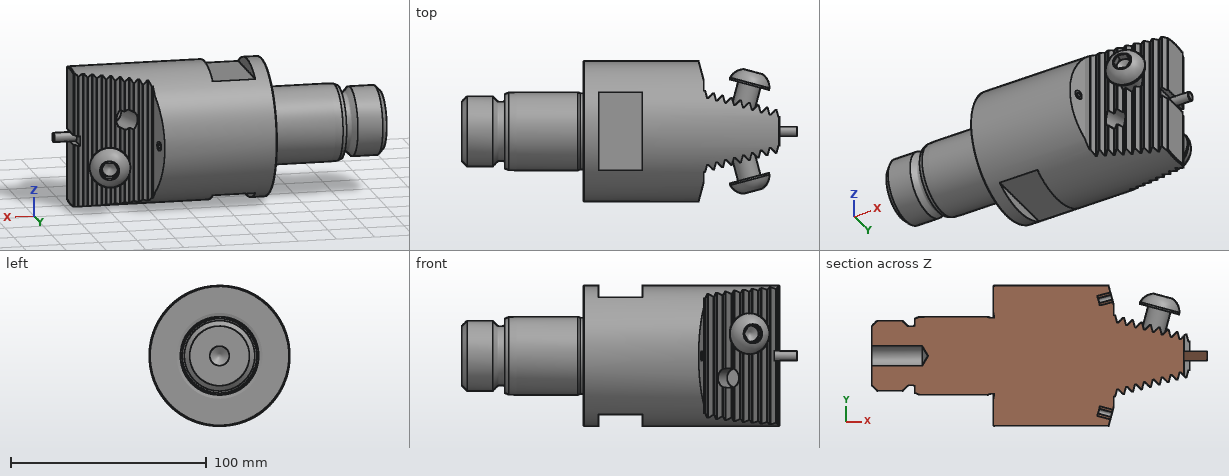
import cadquery as cq
import math

total_length = 171.5
body_length = 162.5
body_radius = 36.0
body_edge_chamfer = 0.5
flange_x = 62.0

shank_radius = 20.0
shank_start_x = 22.0
shank_lead_length = 2.0
shank_lead_height = 0.9
shank_taper_length = 4.0
shank_taper_height = 0.2
relief_start_x = 59.3
relief_ramp = 1.2
relief_depth = 0.5
relief_face_depth = 0.5
relief_face_radius = 22.0

knob_radius = 18.0
knob_chamfer = 2.7
knob_end_x = 15.8
groove_fillet = 0.7
centre_hole_radius = 5.0
centre_hole_depth = 25.7
drill_tip_angle = 118.0

flat_start_x = 70.0
flat_length = 22.3
flat_height = 30.0

taper_angle = 15.0
tooth_count = 8
tooth_pitch = 4.72
tooth_depth = 3.17
tooth_land = 0.5
first_tip_x = 128.8
first_tip_y = 19.5
shoulder_x = 123.8
shoulder_slope_y = 25.7

seat_x = 147.0
seat_y = 23.8
screw_z = 11.3
screw_length = 25.0
screw_radius = 6.0
exit_hole_diameter = 10.1
head_radius = 10.5
head_height = 7.0
head_rim_height = 1.0
head_top_radius = 5.0
dome_mid_radius = 8.5
dome_mid_height = 4.6
socket_width = 8.0
socket_depth = 4.1

nozzle_y = 30.0
nozzle_radius = 2.4
nozzle_bore_radius = 1.2
nozzle_length = 6.9

pin_diameter = 5.0
pin_chamfer = 0.3
slot_depth = 3.0

taper_cos = math.cos(math.radians(taper_angle))
taper_sin = math.sin(math.radians(taper_angle))
taper_tan = math.tan(math.radians(taper_angle))
groove_radius = knob_radius - knob_chamfer
taper_start_x = shank_start_x + shank_lead_length
taper_start_radius = shank_radius - shank_taper_height
relief_radius = shank_radius - relief_depth
slot_floor_x = body_length - slot_depth
screw_axis = cq.Vector(taper_sin, -taper_cos, 0)
shoulder_normal = cq.Vector(taper_cos, -taper_sin, 0)
seat_centre = cq.Vector(seat_x, -seat_y, screw_z)
nozzle_x = shoulder_x - (nozzle_y - shoulder_slope_y) * taper_tan
clearance = 8.5
half_turn = 180.0
side_turns = (0.0, half_turn)


def turned(shape, angle):
    """Turn a shape about the X axis."""
    return shape.rotate((0, 0, 0), (1, 0, 0), angle)


def frame(origin, normal):
    """Work plane whose Y direction is the part's Z axis or its opposite."""
    return cq.Workplane(cq.Plane(origin, cq.Vector(0, 0, 1).cross(normal), normal))


def drilled_hole(radius, depth):
    """Blind hole along +Z from the origin, with a cone-shaped end beyond the depth."""
    tip_length = radius / math.tan(math.radians(drill_tip_angle / 2))
    profile = [
        (0, 0),
        (radius, 0),
        (radius, depth),
        (0, depth + tip_length),
    ]
    return cq.Workplane("XZ").polyline(profile).close().revolve(360, (0, 0, 0), (0, 1, 0))


def turned_blank():
    profile = [
        (0, 0),
        (0, knob_radius - knob_chamfer),
        (knob_chamfer, knob_radius),
        (knob_end_x, knob_radius),
        (knob_end_x + knob_chamfer, groove_radius),
        (shank_start_x, groove_radius),
        (shank_start_x, taper_start_radius - shank_lead_height),
        (taper_start_x, taper_start_radius),
        (taper_start_x + shank_taper_length, shank_radius),
        (relief_start_x, shank_radius),
        (relief_start_x + relief_ramp, relief_radius),
        (flange_x + relief_face_depth, relief_radius),
        (flange_x, relief_face_radius),
        (flange_x, body_radius - body_edge_chamfer),
        (flange_x + body_edge_chamfer, body_radius),
        (body_length - body_edge_chamfer, body_radius),
        (body_length, body_radius - body_edge_chamfer),
        (body_length, 0),
    ]
    blank = cq.Workplane("XY").polyline(profile).close().revolve(360, (0, 0, 0), (1, 0, 0))
    groove_zone = cq.selectors.BoxSelector((knob_end_x, -1.7, -1.7), (taper_start_x, 1.7, 1.7))
    smallest = cq.selectors.RadiusNthSelector(0)
    groove_floor_edges = blank.edges(groove_zone).edges(smallest)
    return groove_floor_edges.fillet(groove_fillet)


def wrench_flat():
    flat_centre_x = flat_start_x + flat_length / 2
    return (
        cq.Workplane("XY", origin=(flat_centre_x, 0, flat_height))
        .rect(flat_length, 2 * body_radius)
        .extrude(clearance)
    )


def flank_point(along, outward):
    """Point on the -Y flank, measured from the first tooth tip along and out of the taper."""
    x = first_tip_x + along * taper_cos + outward * taper_sin
    y = first_tip_y - along * taper_sin + outward * taper_cos
    return (x, -y)


def serrated_flank():
    """Everything removed on the -Y side of the nose."""
    half_land = tooth_land / 2
    outer_y = body_radius + clearance
    outer_x = shoulder_x - (outer_y - shoulder_slope_y) * taper_tan
    shoulder_foot_y = first_tip_y + (first_tip_x - shoulder_x) * taper_tan
    outline = [
        (outer_x, -outer_y),
        (shoulder_x, -shoulder_slope_y),
        (shoulder_x, -shoulder_foot_y),
        flank_point(half_land - tooth_pitch, 0),
    ]
    for tooth in range(tooth_count):
        tip = tooth * tooth_pitch
        root = tip - tooth_pitch / 2
        outline.append(flank_point(root - half_land, -tooth_depth))
        outline.append(flank_point(root + half_land, -tooth_depth))
        outline.append(flank_point(tip - half_land, 0))
        outline.append(flank_point(tip + half_land, 0))
    last_root = (tooth_count - 0.5) * tooth_pitch
    outline.append(flank_point(last_root - half_land, -tooth_depth))
    outline.append((body_length + clearance, outline[-1][1]))
    outline.append((body_length + clearance, -outer_y))
    return cq.Workplane("XY").polyline(outline).close().extrude(body_radius + clearance, both=True)


def screw_hole():
    """Hole that fits the screw, carried on through the opposite flank at a smaller size."""
    fitted = frame(seat_centre, -screw_axis).circle(screw_radius).extrude(screw_length)
    through = frame(seat_centre, -screw_axis).circle(exit_hole_diameter / 2).extrude(2 * body_radius)
    return fitted.union(through)


def nozzle_pocket():
    return frame((nozzle_x, -nozzle_y, 0), -shoulder_normal).circle(nozzle_radius).extrude(nozzle_length)


def pin_slot():
    return cq.Workplane("XY").box(2 * slot_depth, 2 * body_radius, pin_diameter).translate((body_length, 0, 0))


def make_body():
    centre_hole = drilled_hole(centre_hole_radius, centre_hole_depth).rotate((0, 0, 0), (0, 1, 0), 90)
    body = turned_blank().cut(centre_hole).cut(pin_slot())
    for angle in side_turns:
        body = body.cut(turned(wrench_flat(), angle))
        body = body.cut(turned(serrated_flank(), angle))
        body = body.cut(turned(screw_hole(), angle))
        body = body.cut(turned(nozzle_pocket(), angle))
    return body


def make_screw():
    """Button-head screw on the -Y side."""
    profile = (
        cq.Workplane("XZ")
        .moveTo(0, -screw_length)
        .lineTo(screw_radius, -screw_length)
        .lineTo(screw_radius, 0)
        .lineTo(head_radius, 0)
        .lineTo(head_radius, head_rim_height)
        .threePointArc((dome_mid_radius, dome_mid_height), (head_top_radius, head_height))
        .lineTo(0, head_height)
        .close()
    )
    upright = profile.revolve(360, (0, 0, 0), (0, 1, 0))
    socket = (
        cq.Workplane("XY", origin=(0, 0, head_height))
        .transformed(rotate=(0, 0, 30))
        .polygon(6, socket_width, circumscribed=True)
        .extrude(-socket_depth)
    )
    socket_end = (
        drilled_hole(socket_width / 2, socket_depth)
        .rotate((0, 0, 0), (1, 0, 0), half_turn)
        .translate((0, 0, head_height))
    )
    seat = cq.Plane(seat_centre, cq.Vector(0, 0, 1).cross(screw_axis), screw_axis)
    return cq.Workplane("XY").add(upright.cut(socket).cut(socket_end).val().moved(cq.Location(seat)))


def make_nozzle():
    """Spray nozzle in the -Y shoulder, square to its slope."""
    return (
        frame((nozzle_x, -nozzle_y, 0), -shoulder_normal)
        .circle(nozzle_radius)
        .circle(nozzle_bore_radius)
        .extrude(nozzle_length)
    )


def make_pin():
    return (
        cq.Workplane("YZ", origin=(slot_floor_x, 0, 0))
        .circle(pin_diameter / 2)
        .extrude(total_length - slot_floor_x)
        .faces(">X")
        .chamfer(pin_chamfer)
    )


body = make_body()
screws = [turned(make_screw(), angle) for angle in side_turns]
nozzles = [turned(make_nozzle(), angle) for angle in side_turns]
pin = make_pin()

result = cq.Compound.makeCompound(
    [
        body.val(),
        *[screw.val() for screw in screws],
        *[nozzle.val() for nozzle in nozzles],
        pin.val(),
    ]
)